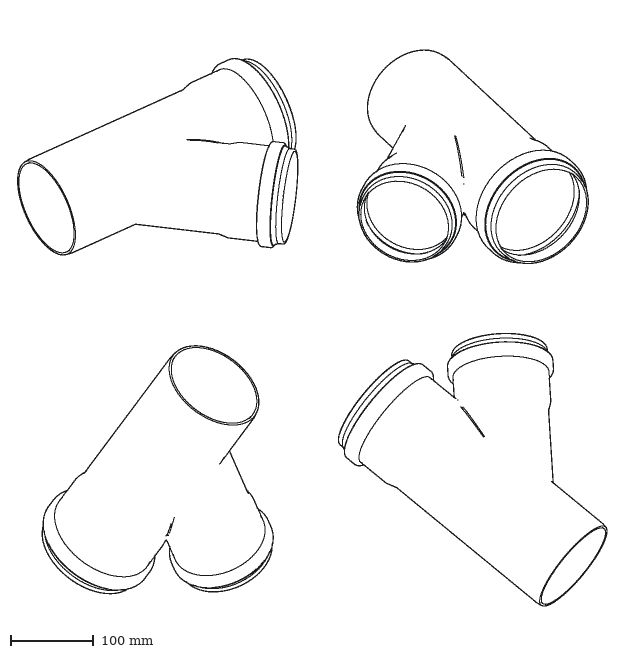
import cadquery as cq

BRANCH_ANGLE = 45.0
RUN_BELOW = 103.0
RUN_ABOVE = 220.0
BRANCH_LENGTH = 213.1
CREASE_RADIUS = 1.3

SPIGOT_TIP_DIAMETER = 123.0
SPIGOT_CHAMFER_LENGTH = 6.0

RUN = {
    "pipe_diameter": 125.0,
    "pipe_bore": 117.2,
    "socket_diameter": 132.7,
    "socket_bore": 125.5,
    "lip_diameter": 131.5,
    "bead_diameter": 145.8,
    "bead_wall": 3.0,
    "lip_depth": 7.0,
    "bead_start": 14.9,
    "bead_end": 33.5,
    "taper_start": 75.2,
    "taper_end": 88.9,
}
BRANCH = {
    "pipe_diameter": 110.0,
    "pipe_bore": 103.2,
    "socket_diameter": 116.7,
    "socket_bore": 110.5,
    "lip_diameter": 116.1,
    "bead_diameter": 128.2,
    "bead_wall": 2.6,
    "lip_depth": 6.6,
    "bead_start": 13.2,
    "bead_end": 29.4,
    "taper_start": 68.6,
    "taper_end": 80.1,
}
LIP_EDGE_RADIUS = 1.2
LIP_STEP_LENGTH = 0.9
SHOULDER_WIDTH = 0.9
SHOULDER_LENGTH = 0.7
BEAD_FOOT_LENGTH = 1.0


def revolve_about_y(profile):
    """Close a half profile (x = radius, y = axial position) and revolve it about Y."""
    return profile.close().revolve(360, (0, 0, 0), (0, 1, 0))


def outer_body(size, length, start, tip_diameter=None):
    """Solid outside shape of a pipe with its socket mouth at y = length."""
    pipe = size["pipe_diameter"] / 2
    socket = size["socket_diameter"] / 2
    lip = size["lip_diameter"] / 2
    bead = size["bead_diameter"] / 2
    edge = size["bead_wall"]
    bead_top = length - size["bead_start"]
    bead_bottom = length - size["bead_end"]
    lip_bottom = length - size["lip_depth"]

    profile = cq.Workplane("XY").moveTo(0, start)
    if tip_diameter:
        profile = profile.lineTo(tip_diameter / 2, start).lineTo(pipe, start + SPIGOT_CHAMFER_LENGTH)
    else:
        profile = profile.lineTo(pipe, start)
    profile = (
        profile
        .lineTo(pipe, length - size["taper_end"])
        .lineTo(socket, length - size["taper_start"])
        .lineTo(socket, bead_bottom - BEAD_FOOT_LENGTH)
        .lineTo(bead - edge, bead_bottom)
        .radiusArc((bead, bead_bottom + edge), -edge)
        .lineTo(bead, bead_top - edge)
        .radiusArc((bead - edge, bead_top), -edge)
        .lineTo(bead - edge - SHOULDER_WIDTH, bead_top + SHOULDER_LENGTH)
        .lineTo(socket, lip_bottom - LIP_STEP_LENGTH)
        .lineTo(lip, lip_bottom)
        .lineTo(lip, length - LIP_EDGE_RADIUS)
        .radiusArc((lip - LIP_EDGE_RADIUS, length), -LIP_EDGE_RADIUS)
        .lineTo(0, length)
    )
    return revolve_about_y(profile)


def inner_body(size, length, start):
    """Hollow of a pipe: bore, taper, socket bore and the seal groove inside the bead."""
    pipe = size["pipe_bore"] / 2
    socket = size["socket_bore"] / 2
    wall = size["bead_wall"]
    groove = size["bead_diameter"] / 2 - wall
    groove_bottom = length - size["bead_end"] + wall
    groove_top = length - size["bead_start"] - wall

    profile = (
        cq.Workplane("XY")
        .moveTo(0, start)
        .lineTo(pipe, start)
        .lineTo(pipe, length - size["taper_end"])
        .lineTo(socket, length - size["taper_start"])
        .lineTo(socket, groove_bottom)
        .lineTo(groove, groove_bottom)
        .lineTo(groove, groove_top)
        .lineTo(socket, groove_top)
        .lineTo(socket, length)
        .lineTo(0, length)
    )
    return revolve_about_y(profile)


def tilt_to_branch(body):
    """Swing a body built along +Y onto the branch axis."""
    return body.rotate((0, 0, 0), (0, 0, 1), -BRANCH_ANGLE)


def fillet_crease(body):
    """Round the crease where the two outer bodies meet (its edges are the only free curves)."""
    return body.edges("%BSPLINE").fillet(CREASE_RADIUS)


run_outer = outer_body(RUN, RUN_ABOVE, -RUN_BELOW, SPIGOT_TIP_DIAMETER)
branch_outer = tilt_to_branch(outer_body(BRANCH, BRANCH_LENGTH, 0))
run_inner = inner_body(RUN, RUN_ABOVE, -RUN_BELOW)
branch_inner = tilt_to_branch(inner_body(BRANCH, BRANCH_LENGTH, 0))

joined = run_outer.union(branch_outer)
joined = fillet_crease(joined)
result = joined.cut(run_inner).cut(branch_inner)